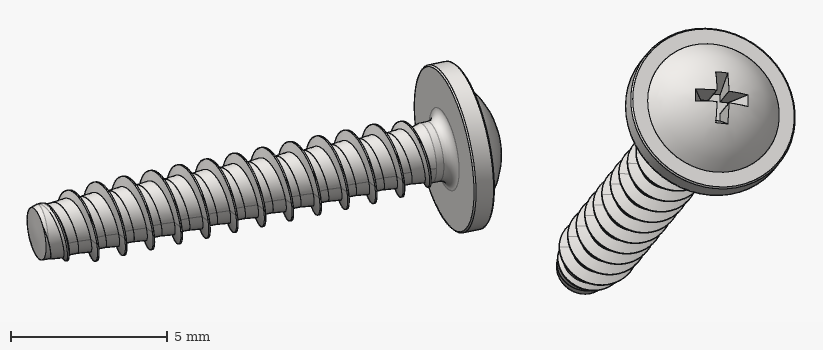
import cadquery as cq
import math


flange_diameter = 5.5
flange_thickness = 0.7
flange_edge_chamfer = 0.05
dome_base_diameter = 4.4
dome_top = 1.775

recess_slot_width = 0.4
recess_span = 1.9
recess_floor_span = 0.9
recess_depth = 1.0

shank_length = 14.0
neck_diameter = 1.96
neck_length = 0.63
underhead_fillet = 0.38
neck_taper_end = 1.0
core_diameter = 1.76
tip_diameter = 1.72
tip_taper_length = 0.4
tip_cone_height = 0.04

thread_diameter = 2.5
pitch = 0.952
crest_width = 0.055
flank_half_angle = math.radians(15)
root_radius = 0.7
full_thread_low = -12.34
full_thread_turns = 11
runout_turns = 2
tip_runout_sink = 0.47
head_runout_sink = 0.27
tip_trim_slope = 0.31

ramp_diameter = 1.86
ramp_length = 0.545
ramp_start_step = 0.004

envelope_clearance = 0.1

flange_radius = flange_diameter / 2
neck_radius = neck_diameter / 2
core_radius = core_diameter / 2
tip_radius = tip_diameter / 2
crest_radius = thread_diameter / 2
ramp_radius = ramp_diameter / 2


def make_head():
    flange = (
        cq.Workplane("XY")
        .circle(flange_radius)
        .extrude(flange_thickness)
        .edges()
        .chamfer(flange_edge_chamfer)
    )
    base_radius = dome_base_diameter / 2
    dome_height = dome_top - flange_thickness
    sphere_radius = (base_radius**2 + dome_height**2) / (2 * dome_height)
    half_angle = math.asin(base_radius / sphere_radius) / 2
    arc_middle = (
        sphere_radius * math.sin(half_angle),
        dome_top - sphere_radius * (1 - math.cos(half_angle)),
    )
    dome = (
        cq.Workplane("XZ")
        .lineTo(base_radius, 0)
        .lineTo(base_radius, flange_thickness)
        .threePointArc(arc_middle, (0, dome_top))
        .close()
        .revolve(360, (0, 0), (0, 1))
    )
    return flange.union(dome)


def make_recess():
    floor = dome_top - recess_depth
    wing = (
        cq.Workplane("XZ")
        .moveTo(-recess_floor_span / 2, floor)
        .lineTo(recess_floor_span / 2, floor)
        .lineTo(recess_span / 2, dome_top)
        .lineTo(-recess_span / 2, dome_top)
        .close()
        .extrude(recess_slot_width / 2, both=True)
    )
    return wing.union(wing.rotate((0, 0, 0), (0, 0, 1), 90))


def make_shank():
    arc_offset = underhead_fillet * (1 - math.sqrt(0.5))
    return (
        cq.Workplane("XZ")
        .lineTo(neck_radius + underhead_fillet, 0)
        .threePointArc(
            (neck_radius + arc_offset, -arc_offset),
            (neck_radius, -underhead_fillet),
        )
        .lineTo(neck_radius, -neck_length)
        .lineTo(core_radius, -neck_taper_end)
        .lineTo(core_radius, tip_cone_height + tip_taper_length - shank_length)
        .lineTo(tip_radius, tip_cone_height - shank_length)
        .lineTo(0, -shank_length)
        .close()
        .revolve(360, (0, 0), (0, 1))
    )


def helix_edge(low, turns, low_radius, high_radius):
    """Helix that starts on the +X side at height low and changes radius evenly on the way up."""
    height = turns * pitch
    cone_angle = math.atan2(high_radius - low_radius, height)
    helix_angle = math.degrees(cone_angle) if low_radius != high_radius else 360
    slant = math.cos(cone_angle)
    axis = cq.Vector(0, 0, 1)
    start = cq.Vector(0, 0, low)
    helix = cq.Wire.makeHelix(pitch / slant, height / slant, low_radius, start, axis, helix_angle)
    return helix.Edges()[0]


def thread_profile(sink):
    """(radius, axial offset) corners of the ramp and thread, with the crest sunk towards the axis."""
    crest_half = crest_width / 2
    slope = math.tan(flank_half_angle)
    ramp_end = crest_half + (crest_radius - ramp_radius) * slope
    root_half = crest_half + (crest_radius - root_radius) * slope
    return [
        (root_radius, -ramp_length),
        (core_radius + ramp_start_step, -ramp_length),
        (ramp_radius, -ramp_end),
        (crest_radius - sink, -crest_half),
        (crest_radius - sink, crest_half),
        (root_radius, root_half),
    ]


def thread_stretch(low, turns, low_sink, high_sink):
    """Helical edges through the profile corners, from one crest sink to another."""
    corners = zip(thread_profile(low_sink), thread_profile(high_sink))
    return [
        helix_edge(low + offset, turns, low_radius, high_radius)
        for (low_radius, offset), (high_radius, _) in corners
    ]


def end_cap(helices, end):
    corners = [helix.positionAt(end) for helix in helices]
    return cq.Face.makeFromWires(cq.Wire.makePolygon(corners, close=True))


def make_thread():
    full_thread_high = full_thread_low + full_thread_turns * pitch
    tip_runout_low = full_thread_low - runout_turns * pitch
    stretches = [thread_stretch(tip_runout_low, runout_turns, tip_runout_sink, 0)]
    for turn in range(full_thread_turns):
        stretches.append(thread_stretch(full_thread_low + turn * pitch, 1, 0, 0))
    stretches.append(thread_stretch(full_thread_high, runout_turns, 0, head_runout_sink))
    faces = [end_cap(stretches[0], 0), end_cap(stretches[-1], 1)]
    for helices in stretches:
        for first, second in zip(helices, helices[1:] + helices[:1]):
            faces.append(cq.Face.makeRuledSurface(first, second))
    return cq.Workplane(cq.Solid.makeSolid(cq.Shell.makeShell(faces)))


def make_thread_envelope():
    """Space between neck and tip, tapered like the tip, to which the thread is trimmed."""
    tip_edge = tip_cone_height - shank_length
    outer_radius = crest_radius + envelope_clearance
    trim_height = (outer_radius - tip_radius) / tip_trim_slope
    return (
        cq.Workplane("XZ")
        .moveTo(0, tip_edge)
        .lineTo(tip_radius, tip_edge)
        .lineTo(outer_radius, tip_edge + trim_height)
        .lineTo(outer_radius, -neck_length)
        .lineTo(0, -neck_length)
        .close()
        .revolve(360, (0, 0), (0, 1))
    )


thread = make_thread().intersect(make_thread_envelope())
screw = make_shank().union(thread)
screw = screw.union(make_head()).cut(make_recess())
result = screw.rotate((0, 0, 0), (1, 0, 0), -90)